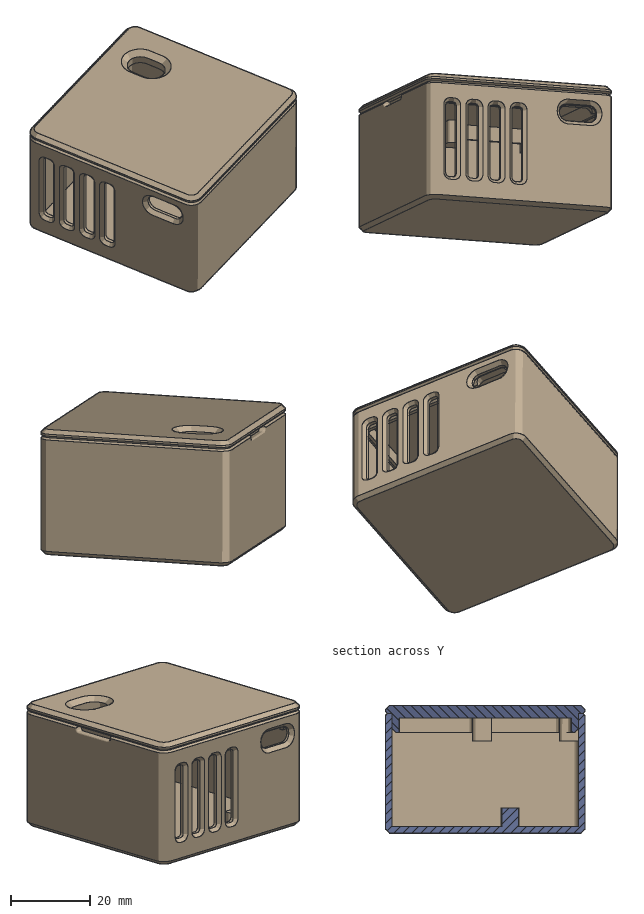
import cadquery as cq

length = 50.5
width = 50.25
height = 32.3
corner_radius = 3.0
edge_chamfer = 1.0
seam_chamfer = 0.5

wall = 1.7
lid_thickness = 2.0
box_height = height - lid_thickness
cavity_length = length - 2 * wall
cavity_width = width - 2 * wall
cavity_radius = corner_radius - wall

plug_top_wall = 1.2
plug_ceiling = box_height - plug_top_wall
lip_depth = 4.9
lip_bottom = box_height - lip_depth
lip_thickness = 1.8
lip_chamfer = 1.0
opening_length = cavity_length - 2 * lip_thickness
opening_width = cavity_width - 2 * lip_thickness
opening_radius = 1.0

stop_left_faces = (-3.2, 18.75)
stop_length = cavity_length / 2 - stop_left_faces[1]
stop_front_y = 16.65
stop_depth = cavity_width / 2 - stop_front_y
stop_bottom = lip_bottom - 2.05

floor_block_x = 4.05
floor_block_y = -19.95
floor_block_length = 4.55
floor_block_depth = 2.1
floor_block_height = 4.7
floor_block_radius = 1.0

vent_count = 4
vent_pitch = 6.0
vent_first_x = -18.95
vent_width = 2.9
vent_bottom = 6.0
vent_top = 25.3
vent_radius = 0.95
vent_chamfer = 0.85

port_x = 15.65
port_z = 24.85
port_length = 10.1
port_height = 4.35
port_radius = 2.05
port_chamfer = 1.0
lip_port_length = 9.2
lip_port_height = 3.95
lip_port_radius = 1.9

window_x = -13.3
window_y = 13.1
window_length = 10.1
window_width = 6.55
window_flare = 1.5
window_flare_depth = 1.25

notch_length = 11.8
notch_depth = 1.4
notch_corner = 0.85
notch_edge_radius = 0.45

cutter_margin = 2.5


def block(size_x, size_y, z_bottom, z_top):
    """Plain block centred on the Z axis."""
    return cq.Workplane("XY").workplane(offset=z_bottom).rect(size_x, size_y).extrude(z_top - z_bottom)


def rounded_block(size_x, size_y, radius, z_bottom, z_top):
    """Block centred on the Z axis with rounded upright edges."""
    return block(size_x, size_y, z_bottom, z_top).edges("|Z").fillet(radius)


def rounded_cutter(size_u, size_v, radius, depth):
    """Rounded opening that enters at Z = 0 and runs up, with a wide plate outside the surface."""
    plate = block(size_u + 2 * cutter_margin, size_v + 2 * cutter_margin, -cutter_margin, 0)
    return plate.union(rounded_block(size_u, size_v, radius, 0, depth))


def mouth_edges(cutter, size_u, size_v):
    """Edges where a cutter meets its plate."""
    reach = cutter_margin / 2
    corner_u = size_u / 2 + reach
    corner_v = size_v / 2 + reach
    low_corner = (-corner_u, -corner_v, -reach)
    high_corner = (corner_u, corner_v, reach)
    return cutter.edges(cq.selectors.BoxSelector(low_corner, high_corner, boundingbox=True))


def front_cutter(x, z, size_x, size_z, radius, chamfer, depth):
    """Rounded opening with a chamfered mouth in the front wall."""
    cutter = rounded_cutter(size_x, size_z, radius, depth)
    cutter = mouth_edges(cutter, size_x, size_z).chamfer(chamfer)
    return cutter.rotate((0, 0, 0), (1, 0, 0), -90).translate((x, -width / 2, z))


def vent_cutters():
    """Row of upright vent slots."""
    vent_height = vent_top - vent_bottom
    vent_z = (vent_top + vent_bottom) / 2
    cutters = []
    for i in range(vent_count):
        vent_x = vent_first_x + i * vent_pitch
        cutters.append(front_cutter(vent_x, vent_z, vent_width, vent_height, vent_radius, vent_chamfer, wall))
    return cutters


def notch_cutter():
    """Pry notch with rounded edges, whose upper half lies above the seam."""
    full_height = 2 * notch_depth
    cutter = rounded_cutter(full_height, notch_length, notch_corner, wall)
    cutter = mouth_edges(cutter, full_height, notch_length).fillet(notch_edge_radius)
    return cutter.rotate((0, 0, 0), (0, 1, 0), 90).translate((-length / 2, 0, box_height))


def floor_block():
    """Low block standing on the floor behind the front wall, rounded on its front corners."""
    post = cq.Workplane("XY").box(floor_block_length, floor_block_depth, floor_block_height, centered=False)
    post = post.edges("|Z and <Y").fillet(floor_block_radius)
    return post.translate((floor_block_x, floor_block_y, wall))


def make_box():
    """Open box with vents, a port, a pry notch and a block on its floor."""
    box = rounded_block(length, width, corner_radius, 0, box_height)
    box = box.faces("<Z").edges().chamfer(edge_chamfer)
    box = box.faces(">Z").edges().chamfer(seam_chamfer)
    box = box.cut(rounded_block(cavity_length, cavity_width, cavity_radius, wall, box_height))
    box = box.union(floor_block())
    for cutter in vent_cutters():
        box = box.cut(cutter)
    box = box.cut(front_cutter(port_x, port_z, port_length, port_height, port_radius, port_chamfer, wall))
    return box.cut(notch_cutter())


def stop_block(left_face, z_bottom, z_top):
    """Space taken by one stop, from its front face to the rear of the lip."""
    size = (stop_length, stop_depth, z_top - z_bottom)
    return cq.Workplane("XY").box(*size, centered=False).translate((left_face, stop_front_y, z_bottom))


def lip_opening():
    """Space inside the lip, going around the stops, with every upright corner rounded."""
    opening = block(opening_length, opening_width, stop_bottom, plug_ceiling)
    for left_face in stop_left_faces:
        opening = opening.cut(stop_block(left_face, stop_bottom, plug_ceiling))
    return opening.edges("|Z").fillet(opening_radius)


def make_plug():
    """Plug under the lid: a lip with a chamfered lower edge, and stops that reach below it."""
    rim = rounded_block(cavity_length, cavity_width, cavity_radius, lip_bottom, box_height)
    rim = rim.faces("<Z").edges().chamfer(lip_chamfer)
    for left_face in stop_left_faces:
        rim = rim.union(stop_block(left_face, stop_bottom, lip_bottom + lip_chamfer))
    envelope = rounded_block(cavity_length, cavity_width, cavity_radius, stop_bottom, box_height)
    return rim.intersect(envelope).cut(lip_opening())


def lip_port_cutter():
    """Opening through the front of the lip, slightly smaller than the port in the wall."""
    cutter = rounded_block(lip_port_length, lip_port_height, lip_port_radius, 0, wall + lip_thickness)
    return cutter.rotate((0, 0, 0), (1, 0, 0), -90).translate((port_x, -width / 2, port_z))


def window_cutter():
    """Stadium window, flared at the top face of the lid."""
    depth = height - plug_ceiling
    stadium = cq.Workplane("XY").slot2D(window_length, window_width).extrude(depth)
    plate = block(window_length + 2 * cutter_margin, window_width + 2 * cutter_margin, -cutter_margin, 0)
    cutter = mouth_edges(plate.union(stadium), window_length, window_width)
    cutter = cutter.chamfer(window_flare, window_flare_depth)
    return cutter.rotate((0, 0, 0), (1, 0, 0), 180).translate((window_x, window_y, height))


def make_lid():
    """Lid plate with its plug and window."""
    lid = rounded_block(length, width, corner_radius, box_height, height)
    lid = lid.faces(">Z").edges().chamfer(edge_chamfer)
    lid = lid.faces("<Z").edges().chamfer(seam_chamfer)
    lid = lid.union(make_plug())
    return lid.cut(window_cutter()).cut(lip_port_cutter())


box = make_box()
lid = make_lid()
result = cq.Compound.makeCompound([box.val(), lid.val()])